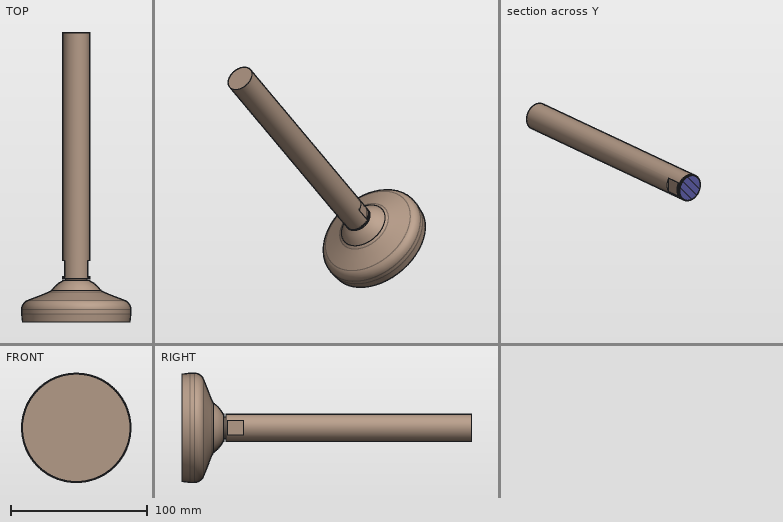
import cadquery as cq
import math


total_length = 211.5

foot_radius = 40.0
sole_radius = 39.3
rim_taper_height = 5.8
rim_height = 9.0
shoulder_radius = 7.4
cone_slope = math.radians(21.4)
cone_top_height = 21.8
dome_start_height = 23.0
dome_radius = 22.1
dome_center_height = 10.4
foot_height = 30.3

stud_radius = 10.0
flange_bottom_radius = 9.4
flange_thickness = 0.5
neck_radius = 8.0
neck_length = 1.2

flats_across = 17.0
flat_start_height = 33.2
flat_length = 11.7


def along(start, angle, distance):
    """Point at a distance from start, at an angle measured from the radius axis."""
    return (start[0] + distance * math.cos(angle), start[1] + distance * math.sin(angle))


def turn(profile):
    """Revolve a closed (radius, height) profile around the Y axis."""
    return profile.close().revolve(360, (0, 0, 0), (0, 1, 0))


def make_foot():
    cone_normal = math.pi / 2 - cone_slope
    shoulder_center = (foot_radius - shoulder_radius, rim_height)
    shoulder_middle = along(shoulder_center, cone_normal / 2, shoulder_radius)
    shoulder_end = along(shoulder_center, cone_normal, shoulder_radius)

    cone_length = (cone_top_height - shoulder_end[1]) / math.sin(cone_slope)
    cone_top = along(shoulder_end, math.pi - cone_slope, cone_length)

    dome_center = (0, dome_center_height)
    dome_start_angle = math.asin((dome_start_height - dome_center_height) / dome_radius)
    dome_end_angle = math.asin((foot_height - dome_center_height) / dome_radius)
    dome_start = along(dome_center, dome_start_angle, dome_radius)
    dome_middle = along(dome_center, (dome_start_angle + dome_end_angle) / 2, dome_radius)
    dome_end = along(dome_center, dome_end_angle, dome_radius)

    return turn(
        cq.Workplane("ZY")
        .lineTo(sole_radius, 0)
        .lineTo(foot_radius, rim_taper_height)
        .lineTo(foot_radius, rim_height)
        .threePointArc(shoulder_middle, shoulder_end)
        .lineTo(*cone_top)
        .lineTo(*dome_start)
        .threePointArc(dome_middle, dome_end)
        .lineTo(0, foot_height)
    )


def make_stud():
    flange_top = foot_height + flange_thickness
    shank_start = flange_top + neck_length
    stud = turn(
        cq.Workplane("ZY")
        .moveTo(0, foot_height)
        .lineTo(flange_bottom_radius, foot_height)
        .lineTo(stud_radius, flange_top)
        .lineTo(neck_radius, flange_top)
        .lineTo(neck_radius, shank_start)
        .lineTo(stud_radius, shank_start)
        .lineTo(stud_radius, total_length)
        .lineTo(0, total_length)
    )
    flat_center_height = flat_start_height + flat_length / 2
    for side in (-1, 1):
        cutter_x = side * (flats_across / 2 + stud_radius / 2)
        cutter = cq.Workplane("XY").box(stud_radius, flat_length, 2 * stud_radius)
        stud = stud.cut(cutter.translate((cutter_x, flat_center_height, 0)))
    return stud


foot = make_foot()
stud = make_stud()
result = cq.Compound.makeCompound([foot.val(), stud.val()])